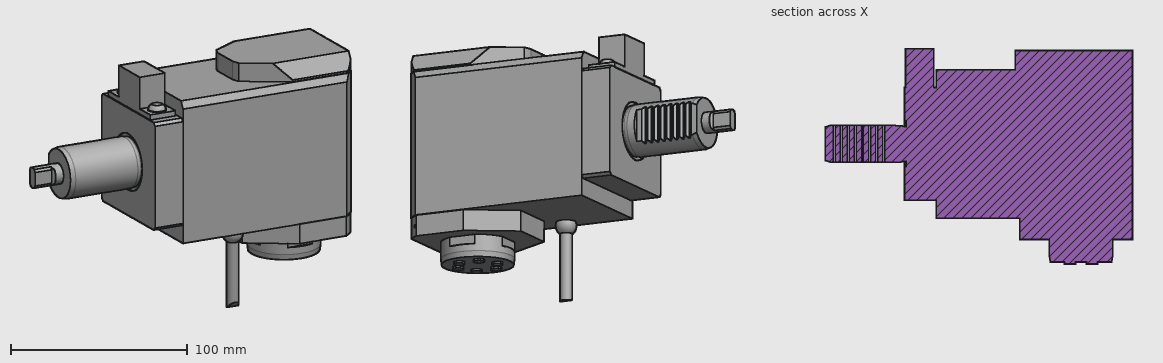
import cadquery as cq
import math


width = 64.0
rear_y = 129.1
flange_width = 63.9
flange_thickness = 18.0
flange_chamfer = 1.7
housing_top = 42.0
housing_bottom = -42.2
rear_chamfer = 6.0
top_chamfer_height = 4.2
slope_angle = math.radians(60)

cap_top = 52.8
cap_half_width = 28.8
cap_step = 1.1
cap_nose_y = 62.2
cap_shoulder_y = 90.0

spindle_y = 100.0
seat_bottom = -54.2
seat_half_width = 30.9
seat_shoulder_y = 93.5
seat_nose_y = 65.2
swing_radius = 38.7
seat_hole_diameter = 1.7
seat_hole_depth = 2.0
seat_hole_y = 124.8
nut_diameter = 42.0
nut_end_diameter = 41.0
nut_flats = 39.0
nut_flat_height = 5.3
nut_rim_height = 4.0
nut_taper_height = 3.5
nut_pad_diameter = 6.3
nut_pad_height = 1.1
nut_pad_circle = 24.8
nut_pad_count = 6

shank_diameter = 30.0
shank_root_diameter = 29.2
shank_end_diameter = 28.6
shank_end = -44.8
shank_root_taper = 2.1
shank_end_taper = 2.9
shank_recess_diameter = 33.4
shank_recess_depth = 1.0
flat_x = -11.8
flat_start = -6.9
tooth_count = 8
tooth_pitch = 4.0
tooth_gap = 3.5
tooth_gap_floor = 0.4
tooth_depth = 1.3
first_tooth_y = -11.6
tang_diameter = 12.0
tang_end = -61.6
tang_thickness = 6.3
tang_shoulder_y = -49.8
tang_fillet = 1.7
tang_face_half = 4.0
tang_bevel_angle = math.radians(30)
tang_bevel_start = -51.0

block_width = 25.0
block_top = 53.8
plate_width = 50.2
plate_thickness = 3.0
block_front = 0.5
block_rear = 16.8
screw_spacing = 36.2
screw_head_diameter = 10.5
screw_head_top_diameter = 5.7
screw_head_height = 3.2
screw_head_rim = 0.4
screw_head_bulge = 0.29

nozzle_x = 22.1
nozzle_y = 55.1
ball_diameter = 12.0
ball_z = -44.3
tube_diameter = 7.0
tube_bottom = -88.1

half_width = width / 2
half_flange = flange_width / 2


def box(x0, x1, y0, y1, z0, z1):
    return cq.Workplane("XY").box(x1 - x0, y1 - y0, z1 - z0, centered=False).translate((x0, y0, z0))


def cylinder(diameter, x, y, z0, z1):
    """Vertical cylinder between two heights."""
    return cq.Workplane("XY", origin=(x, y, z0)).circle(diameter / 2).extrude(z1 - z0)


def along_y(section, y0, y1):
    """Prism from an (x, z) outline, between two places along Y."""
    return cq.Workplane("XZ", origin=(0, y1, 0)).polyline(section).close().extrude(y1 - y0)


def mirrored(points):
    """Closed outline from its right-hand points, mirrored about X = 0."""
    return points + [(-x, other) for x, other in reversed(points)]


def tapered_plan(half, shoulder_y, nose_y):
    """Plan outline that narrows at the slope angle from its shoulders to a flat nose."""
    nose_half = half - (shoulder_y - nose_y) / math.tan(slope_angle)
    return mirrored([(half, rear_y), (half, shoulder_y), (nose_half, nose_y)])


def make_housing():
    chamfer_width = top_chamfer_height / math.tan(slope_angle)
    section = mirrored([
        (half_width, housing_bottom),
        (half_width, housing_top - top_chamfer_height),
        (half_width - chamfer_width, housing_top),
    ])
    housing = along_y(section, flange_thickness, rear_y)
    corner = [
        (half_width - rear_chamfer, rear_y),
        (half_width, rear_y),
        (half_width, rear_y - rear_chamfer),
    ]
    height = housing_top - housing_bottom
    cutter = cq.Workplane("XY", origin=(0, 0, housing_bottom)).polyline(corner).close().extrude(height)
    return housing.cut(cutter).cut(cutter.mirror("YZ"))


def make_cap():
    slope_start = housing_top + cap_step
    slope_width = (cap_top - slope_start) / math.tan(slope_angle)
    section = mirrored([
        (cap_half_width, housing_top),
        (cap_half_width, slope_start),
        (cap_half_width - slope_width, cap_top),
    ])
    plan = tapered_plan(cap_half_width, cap_shoulder_y, cap_nose_y)
    cap = cq.Workplane("XY", origin=(0, 0, housing_top)).polyline(plan).close().extrude(cap_top - housing_top)
    swing = cylinder(2 * swing_radius, 0, spindle_y, housing_top, cap_top)
    return cap.intersect(along_y(section, cap_nose_y, rear_y)).intersect(swing)


def make_flange():
    return (
        box(-half_flange, half_flange, 0, flange_thickness, -half_flange, half_flange)
        .edges("|Y")
        .chamfer(flange_chamfer)
    )


def make_spindle_seat():
    plan = tapered_plan(seat_half_width, seat_shoulder_y, seat_nose_y)
    height = housing_bottom - seat_bottom
    seat = cq.Workplane("XY", origin=(0, 0, seat_bottom)).polyline(plan).close().extrude(height)
    seat = seat.intersect(cylinder(2 * swing_radius, 0, spindle_y, seat_bottom, housing_bottom))
    hole_angle = math.pi - math.asin((seat_hole_y - spindle_y) / swing_radius)
    outward = cq.Vector(math.cos(hole_angle), math.sin(hole_angle), 0)
    axis_point = cq.Vector(0, spindle_y, (housing_bottom + seat_bottom) / 2)
    hole = cq.Solid.makeCylinder(
        seat_hole_diameter / 2,
        2 * seat_hole_depth,
        axis_point + outward * (swing_radius - seat_hole_depth),
        outward,
    )
    return seat.cut(cq.Workplane(hole))


def make_collet_nut():
    flat_bottom = seat_bottom - nut_flat_height
    rim_bottom = flat_bottom - nut_rim_height
    nut_bottom = rim_bottom - nut_taper_height
    half_flats = nut_flats / 2
    neck = cylinder(nut_diameter, 0, spindle_y, flat_bottom, seat_bottom).intersect(box(
        -half_flats, half_flats, spindle_y - half_flats, spindle_y + half_flats, flat_bottom, seat_bottom
    ))
    rim = cylinder(nut_diameter, 0, spindle_y, rim_bottom, flat_bottom)
    taper = (
        cq.Workplane("XY", origin=(0, spindle_y, rim_bottom))
        .circle(nut_diameter / 2)
        .workplane(offset=-nut_taper_height)
        .circle(nut_end_diameter / 2)
        .loft()
    )
    nut = neck.union(rim).union(taper)
    for i in range(nut_pad_count):
        angle = math.radians(90) + i * 2 * math.pi / nut_pad_count
        x = nut_pad_circle / 2 * math.cos(angle)
        y = spindle_y + nut_pad_circle / 2 * math.sin(angle)
        nut = nut.union(cylinder(nut_pad_diameter, x, y, nut_bottom - nut_pad_height, nut_bottom))
    return nut


def make_shank():
    radius = shank_diameter / 2
    root_radius = shank_root_diameter / 2
    end_radius = shank_end_diameter / 2
    shank = (
        cq.Workplane("XY")
        .polyline([
            (0, shank_recess_depth),
            (root_radius, shank_recess_depth),
            (root_radius, 0),
            (radius, -shank_root_taper),
            (radius, shank_end + shank_end_taper),
            (end_radius, shank_end),
            (0, shank_end),
        ])
        .close()
        .revolve(360, (0, 0, 0), (0, 1, 0))
    )
    shank = shank.cut(box(-radius, flat_x, shank_end, flat_start, -radius, radius))
    for i in range(tooth_count):
        y = first_tooth_y - i * tooth_pitch
        outline = [
            (flat_x, y - tooth_gap / 2),
            (flat_x + tooth_depth, y - tooth_gap_floor / 2),
            (flat_x + tooth_depth, y + tooth_gap_floor / 2),
            (flat_x, y + tooth_gap / 2),
        ]
        groove = (
            cq.Workplane("XY", origin=(0, 0, -radius))
            .polyline(outline)
            .close()
            .extrude(shank_diameter)
        )
        shank = shank.cut(groove)
    return shank


def make_tang():
    radius = tang_diameter / 2
    half = tang_thickness / 2
    rod = cq.Workplane("XZ", origin=(0, shank_end, 0)).circle(radius).extrude(shank_end - tang_end)
    for side in (-1, 1):
        cutter = box(half, radius, tang_end, tang_shoulder_y, -radius, radius)
        cutter = cutter.edges("|Z and <X and >Y").fillet(tang_fillet)
        if side < 0:
            cutter = cutter.mirror("YZ")
        rod = rod.cut(cutter)
    apex = tang_face_half + half / math.tan(tang_bevel_angle)
    section = [
        (0, -apex),
        (half, -tang_face_half),
        (half, tang_face_half),
        (0, apex),
        (-half, tang_face_half),
        (-half, -tang_face_half),
    ]
    blade = along_y(section, tang_end, tang_bevel_start)
    root = box(-radius, radius, tang_bevel_start, shank_end, -radius, radius)
    return rod.intersect(blade.union(root))


def make_screw_head(x, y, z):
    radius = screw_head_diameter / 2
    top_radius = screw_head_top_diameter / 2
    rise = screw_head_height - screw_head_rim
    bulge = ((radius + top_radius) / 2 + screw_head_bulge, screw_head_rim + rise / 2 + screw_head_bulge)
    return (
        cq.Workplane("XZ")
        .moveTo(0, 0)
        .lineTo(radius, 0)
        .lineTo(radius, screw_head_rim)
        .threePointArc(bulge, (top_radius, screw_head_height))
        .lineTo(0, screw_head_height)
        .close()
        .revolve(360, (0, 0, 0), (0, 1, 0))
        .translate((x, y, z))
    )


def make_locating_block():
    plate_top = half_flange + plate_thickness
    plate = box(-plate_width / 2, plate_width / 2, block_front, block_rear, half_flange, plate_top)
    block = box(-block_width / 2, block_width / 2, block_front, block_rear, half_flange, block_top)
    block = block.union(plate)
    for x in (-screw_spacing / 2, screw_spacing / 2):
        block = block.union(make_screw_head(x, (block_front + block_rear) / 2, plate_top))
    return block


def make_nozzle():
    radius = tube_diameter / 2
    ball = cq.Workplane("XY", origin=(nozzle_x, nozzle_y, ball_z)).sphere(ball_diameter / 2)
    tube = cylinder(tube_diameter, nozzle_x, nozzle_y, tube_bottom, ball_z)
    right = nozzle_x + radius
    bevel = along_y(
        [(nozzle_x, tube_bottom), (right, tube_bottom), (right, tube_bottom + radius)],
        nozzle_y - radius,
        nozzle_y + radius,
    )
    return ball.union(tube.cut(bevel))


recess = cq.Workplane("XZ").circle(shank_recess_diameter / 2).extrude(-shank_recess_depth)
result = make_flange().cut(recess)
for feature in (
    make_housing(),
    make_cap(),
    make_spindle_seat(),
    make_collet_nut(),
    make_shank(),
    make_tang(),
    make_locating_block(),
    make_nozzle(),
):
    result = result.union(feature)